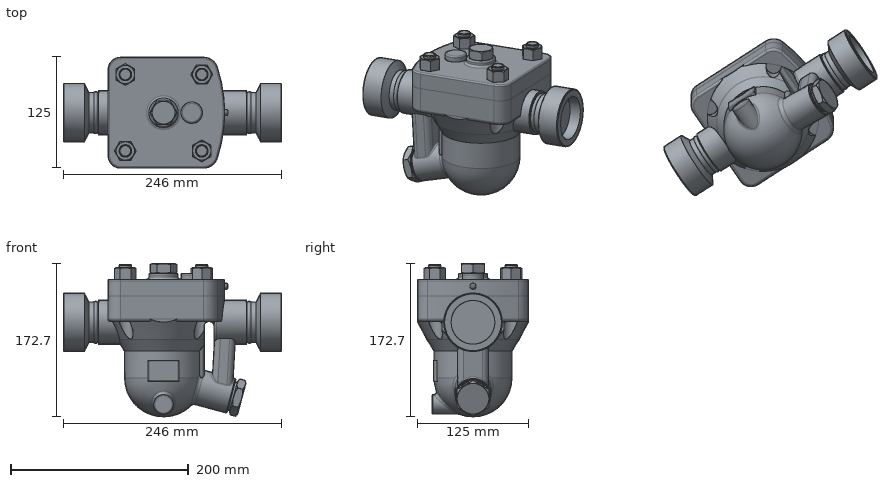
import cadquery as cq
import math


pipe_left_x = -113.0
pipe_length = 246.0
pipe_middle_x = pipe_left_x + pipe_length / 2
pipe_radius = 50.0 / 2
socket_radius = 66.0 / 2
socket_length = 23.5
socket_edge = 1.0
socket_bore_radius = 49.2 / 2
socket_bore_depth = 13.0
neck_radius = 46.0 / 2
taper_length = 5.2
neck_length = 5.7
bead_length = 4.5
bead_height = 0.7
groove_depth = 0.5
groove_length = 1.0

flange_half_width = 62.5
flange_left_x = -62.5
flange_right_x = 69.0
flange_right_bottom_x = 67.5
flange_right_radius = 162.4
flange_left_corner = 14.3
flange_right_corner = 16.5
flange_bottom_z = 0.7
parting_z = 29.8
cover_top_z = 48.5
cover_edge = 1.7
flange_bottom_edge = 3.0

bowl_radius = 44.0
bowl_top_z = -32.5
bowl_center_z = -62.5
cone_kink_radius = 52.2
cone_kink_z = -19.2
cone_side_z = 0.2

stud_offset = 43.0
stud_radius = 14.0 / 2
stud_top_z = 65.2
stud_edge = 1.0
nut_flats = 21.2
nut_top_z = 61.5
relief_radius = 8.5

collar_radius = 33.0 / 2
collar_flare = 2.5
collar_edge = 1.7
collar_top_z = 55.0
plug_flats = 26.3
plug_top_z = 66.2
cap_x = 31.7
cap_radius = 24.0 / 2
cap_top_z = 55.0
cap_edge = 1.6
pin_radius = 3.5
pin_end_x = 72.5
pin_z = 40.5
pin_edge = 2.0

leg_tilt = 15.0
leg_radius = 40.0 / 2
leg_length = 79.2
leg_edge = 1.0
leg_blend = 5.5
duct_blend = 1.5
rib_corner = 5.0
leg_neck_radius = 33.0 / 2
leg_hex_start = 81.7
leg_hex_end = 91.3
leg_hex_flats = 36.5
web_half_width = 17.2
rib_face_x = 46.0
gap_right_x = 56.5
gap_corner = 4.7
pipe_inner_edge = 3.0
duct_width = 23.5
duct_corner = 6.6
duct_tilt = 3.2

plate_width = 35.0
plate_height = 23.5
plate_center_z = -54.5
plate_face_y = -44.8
plate_edge = 1.0
drain_radius = 11.0
drain_z = -92.5
drain_face_y = -46.0
drain_edge = 1.2
drain_blend = 3.0

hex_corner_ratio = 2 / math.sqrt(3)
hex_face_ratio = 0.98
hex_bevel_tangent = math.tan(math.radians(30))


def cylinder_z(radius, bottom_z, top_z, x=0.0, y=0.0):
    return cq.Workplane("XY", origin=(x, y, bottom_z)).circle(radius).extrude(top_z - bottom_z)


def hex_prism(flats, bottom, top, bevel_bottom=False):
    """Hexagon along Z with corners on X, its corners bevelled by a revolved envelope."""
    corner_radius = flats * hex_corner_ratio / 2
    bevel_radius = hex_face_ratio * flats / 2
    bevel = (corner_radius - bevel_radius) * hex_bevel_tangent
    prism = cq.Workplane("XY", origin=(0, 0, bottom)).polygon(6, 2 * corner_radius).extrude(top - bottom)
    envelope = cylinder_z(corner_radius, bottom, top)
    envelope = envelope.faces(">Z").chamfer(bevel, corner_radius - bevel_radius)
    if bevel_bottom:
        envelope = envelope.faces("<Z").chamfer(bevel, corner_radius - bevel_radius)
    return prism.intersect(envelope)


def flange_outline(z, right_x):
    """Square flange outline with rounded corners and a right side bowed out to right_x."""
    bow_center_x = flange_right_x - flange_right_radius
    corner_y = flange_half_width - flange_right_corner
    corner_reach = flange_right_radius - flange_right_corner
    corner_x = bow_center_x + math.sqrt(corner_reach**2 - corner_y**2)
    bow_angle = math.asin(corner_y / corner_reach)
    bow_end_x = bow_center_x + flange_right_radius * math.cos(bow_angle)
    bow_end_y = flange_right_radius * math.sin(bow_angle)
    left_straight_y = flange_half_width - flange_left_corner
    left_straight_x = flange_left_x + flange_left_corner
    outline = (
        cq.Workplane("XY", origin=(0, 0, z))
        .moveTo(left_straight_x, -flange_half_width)
        .lineTo(corner_x, -flange_half_width)
        .radiusArc((bow_end_x, -bow_end_y), -flange_right_corner)
        .threePointArc((right_x, 0), (bow_end_x, bow_end_y))
        .radiusArc((corner_x, flange_half_width), -flange_right_corner)
        .lineTo(left_straight_x, flange_half_width)
        .radiusArc((flange_left_x, left_straight_y), -flange_left_corner)
        .lineTo(flange_left_x, -left_straight_y)
        .radiusArc((left_straight_x, -flange_half_width), -flange_left_corner)
        .close()
    )
    return outline.val()


def flange():
    parting = flange_outline(parting_z, flange_right_x)
    underside = flange_outline(flange_bottom_z, flange_right_bottom_x)
    lower = cq.Workplane(cq.Solid.makeLoft([underside, parting], True))
    lower = lower.faces("<Z").edges().fillet(flange_bottom_edge)
    height = cover_top_z - parting_z
    upper = cq.Workplane(cq.Solid.extrudeLinear(parting, [], cq.Vector(0, 0, height)))
    upper = upper.faces(">Z").edges().fillet(cover_edge)
    return lower.union(upper, clean=False)


def bowl():
    """Domed bowl widening in a cone up to the flange, relieved under each nut."""
    top_z = flange_bottom_z + flange_bottom_edge
    cone_slope = (flange_half_width - cone_kink_radius) / (cone_side_z - cone_kink_z)
    cone_top_radius = cone_kink_radius + cone_slope * (top_z - cone_kink_z)
    solid = (
        cq.Workplane("XZ")
        .moveTo(0, top_z)
        .lineTo(cone_top_radius, top_z)
        .lineTo(cone_kink_radius, cone_kink_z)
        .lineTo(bowl_radius, bowl_top_z)
        .lineTo(bowl_radius, bowl_center_z)
        .radiusArc((0, bowl_center_z - bowl_radius), bowl_radius)
        .close()
        .revolve(360, (0, 0, 0), (0, 1, 0))
    )
    flange_width = 2 * flange_half_width
    solid = solid.intersect(cq.Workplane("XY").box(flange_width, flange_width, 4 * flange_width))
    for x in (-stud_offset, stud_offset):
        for y in (-stud_offset, stud_offset):
            outward = math.degrees(math.atan2(y, x))
            relief = cylinder_z(relief_radius, bowl_top_z, flange_bottom_z)
            relief_width = 2 * relief_radius
            relief_height = flange_bottom_z - bowl_top_z
            slot = cq.Workplane("XY").box(
                relief_width, relief_width, relief_height, centered=(False, True, False)
            ).translate((0, 0, bowl_top_z))
            relief = relief.union(slot).rotate((0, 0, 0), (0, 0, 1), outward)
            solid = solid.cut(relief.translate((x, y, 0)))
    return solid


def pipe_stub(inner_x):
    """Left-hand pipe from its open socket to a rounded inner end at inner_x."""
    socket_end_x = pipe_left_x + socket_length
    neck_start_x = socket_end_x + taper_length
    bead_start_x = neck_start_x + neck_length
    groove_x = bead_start_x + bead_length
    groove_radius = neck_radius - groove_depth
    return (
        cq.Workplane("XY")
        .moveTo(pipe_left_x + socket_bore_depth, 0)
        .lineTo(pipe_left_x + socket_bore_depth, socket_bore_radius)
        .lineTo(pipe_left_x, socket_bore_radius)
        .lineTo(pipe_left_x, socket_radius - socket_edge)
        .lineTo(pipe_left_x + socket_edge, socket_radius)
        .lineTo(socket_end_x, socket_radius)
        .lineTo(neck_start_x, neck_radius)
        .lineTo(bead_start_x, neck_radius)
        .threePointArc((bead_start_x + bead_length / 2, neck_radius + bead_height), (groove_x, groove_radius))
        .lineTo(groove_x + groove_length, groove_radius)
        .lineTo(groove_x + groove_length, pipe_radius)
        .lineTo(inner_x - pipe_inner_edge, pipe_radius)
        .radiusArc((inner_x, pipe_radius - pipe_inner_edge), pipe_inner_edge)
        .lineTo(inner_x, 0)
        .close()
        .revolve(360, (0, 0, 0), (1, 0, 0))
    )


def outlet_pipe():
    """Mirror of the inlet that starts at the far side of the gap."""
    return pipe_stub(2 * pipe_middle_x - gap_right_x).mirror("YZ", (pipe_middle_x, 0, 0))


def rib():
    """Flat-faced thickening of the bowl wall above the strainer leg."""
    top_z = cone_kink_z
    bottom_z = bowl_center_z - rib_face_x * math.tan(math.radians(leg_tilt))
    height = top_z - bottom_z
    block = cq.Workplane("XY").box(rib_face_x, 2 * web_half_width, height, centered=(False, True, False))
    return block.edges("|Z").edges(">X").fillet(rib_corner).translate((0, 0, bottom_z))


def gap():
    """Opening between the bowl and the outlet pipe, below the flange."""
    bottom_z = bowl_center_z - leg_radius
    return (
        cq.Workplane("XZ")
        .moveTo(rib_face_x, bottom_z)
        .lineTo(gap_right_x, bottom_z)
        .lineTo(gap_right_x, flange_bottom_z)
        .lineTo(rib_face_x, flange_bottom_z)
        .close()
        .extrude(flange_half_width, both=True)
        .edges("|Y").edges(">Z").fillet(gap_corner)
    )


def duct():
    """Rounded rectangular passage from the strainer leg up to the outlet pipe."""
    bottom_z = bowl_center_z - leg_radius
    solid = (
        cq.Workplane("XY")
        .rect(duct_width, 2 * web_half_width)
        .extrude(bottom_z)
        .edges("|Z").fillet(duct_corner)
    )
    solid = solid.rotate((0, 0, bowl_top_z), (0, 1, bowl_top_z), duct_tilt)
    return solid.translate((gap_right_x + duct_width / 2, 0, 0))


def tilt_leg(solid):
    """Turn a solid built along Z onto the leg axis through the dome centre."""
    return solid.rotate((0, 0, 0), (0, 1, 0), 90 + leg_tilt).translate((0, 0, bowl_center_z))


def strainer_leg():
    """Cylinder aimed at the dome centre, with a blend of revolved arc onto the dome."""
    blend_radius = leg_radius + leg_blend
    blend_reach = bowl_radius + leg_blend
    blend_z = math.sqrt(blend_reach**2 - blend_radius**2)
    foot_radius = blend_radius * bowl_radius / blend_reach
    foot_z = blend_z * bowl_radius / blend_reach
    leg = (
        cq.Workplane("XZ")
        .lineTo(foot_radius, foot_z)
        .radiusArc((leg_radius, blend_z), leg_blend)
        .lineTo(leg_radius, leg_length - leg_edge)
        .lineTo(leg_radius - leg_edge, leg_length)
        .lineTo(0, leg_length)
        .close()
        .revolve(360, (0, 0, 0), (0, 1, 0))
    )
    return tilt_leg(leg)


def strainer_cap():
    neck = cylinder_z(leg_neck_radius, leg_length - leg_edge, leg_hex_start)
    head = hex_prism(leg_hex_flats, leg_hex_start, leg_hex_end, bevel_bottom=True)
    return tilt_leg(neck.union(head))


def name_plate():
    depth = bowl_radius / 2
    plate = cq.Workplane("XY").box(plate_width, depth, plate_height)
    plate = plate.faces("<Y").edges().fillet(plate_edge)
    return plate.translate((0, plate_face_y + depth / 2, plate_center_z))


def drain_boss():
    boss = cq.Workplane("XZ", origin=(0, 0, drain_z)).circle(drain_radius).extrude(-drain_face_y)
    return boss.faces("<Y").edges().fillet(drain_edge)


def nut_and_stud(x, y):
    nut = hex_prism(nut_flats, cover_top_z, nut_top_z)
    if x * y < 0:
        nut = nut.rotate((0, 0, 0), (0, 0, 1), 90)
    stud = cylinder_z(stud_radius, cover_top_z, stud_top_z).faces(">Z").chamfer(stud_edge)
    return nut.union(stud).translate((x, y, 0))


def center_plug():
    flare_top_z = cover_top_z + collar_flare
    collar = (
        cq.Workplane("XZ")
        .moveTo(0, cover_top_z)
        .lineTo(collar_radius + collar_flare, cover_top_z)
        .radiusArc((collar_radius, flare_top_z), collar_flare)
        .lineTo(collar_radius, collar_top_z - collar_edge)
        .radiusArc((collar_radius - collar_edge, collar_top_z), -collar_edge)
        .lineTo(0, collar_top_z)
        .close()
        .revolve(360, (0, 0, 0), (0, 1, 0))
    )
    return collar.union(hex_prism(plug_flats, collar_top_z, plug_top_z, bevel_bottom=True))


def cover_cap():
    return cylinder_z(cap_radius, cover_top_z, cap_top_z, x=cap_x).faces(">Z").edges().fillet(cap_edge)


def side_pin():
    pin = cq.Workplane("YZ", origin=(cap_x, 0, pin_z)).circle(pin_radius).extrude(pin_end_x - cap_x)
    return pin.faces(">X").edges().fillet(pin_edge)


def bowl_with_drain():
    """Bowl and drain boss, blended where the boss leaves the dome."""
    solid = bowl().union(drain_boss())
    low = (-drain_radius, plate_face_y, bowl_center_z - bowl_radius)
    high = (drain_radius, 0, drain_z + drain_radius)
    seam = solid.edges(cq.selectors.BoxSelector(low, high)).edges("%BSPLINE")
    return seam.fillet(drain_blend)


def leg_with_duct():
    """Strainer leg and duct, blended where the duct stands on the leg."""
    solid = strainer_leg().union(duct())
    duct_right_x = gap_right_x + duct_width
    axis_z = bowl_center_z - duct_right_x * math.tan(math.radians(leg_tilt))
    low = (rib_face_x, -leg_radius, axis_z + web_half_width / 2)
    high = (duct_right_x, leg_radius, bowl_top_z - leg_radius)
    return solid.edges(cq.selectors.BoxSelector(low, high)).fillet(duct_blend)


body = bowl_with_drain().union(pipe_stub(pipe_middle_x)).union(rib()).cut(gap()).union(outlet_pipe())
body = body.union(leg_with_duct()).union(strainer_cap()).union(name_plate())
for stud_x in (-stud_offset, stud_offset):
    for stud_y in (-stud_offset, stud_offset):
        body = body.union(nut_and_stud(stud_x, stud_y))
body = body.union(center_plug()).union(cover_cap()).union(side_pin())
result = body.union(flange(), clean=False)